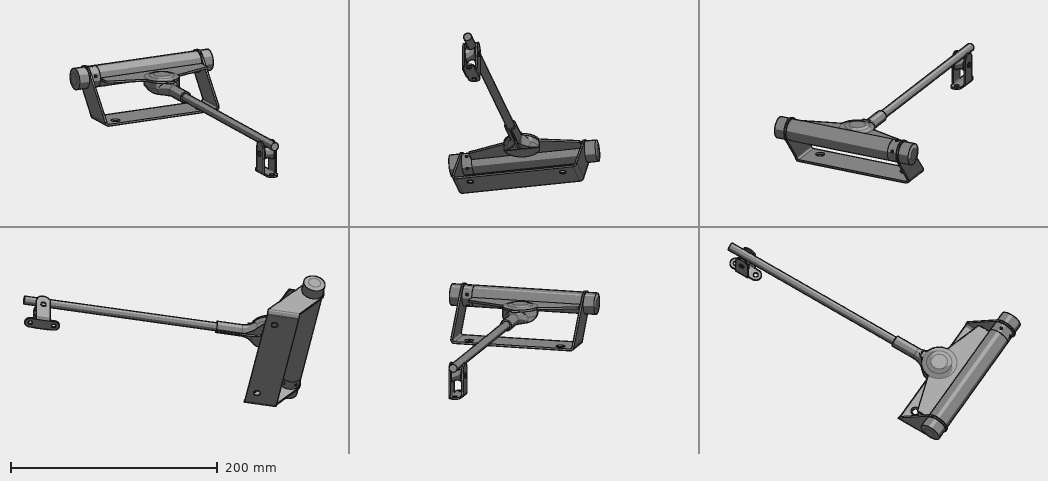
import cadquery as cq
import math


OVERALL_LENGTH_X = 285.0
OVERALL_LENGTH_Y = 147.0
BARREL_RADIUS = 10.5
BARREL_Z = 38.2
CAP_CONE_HEIGHT = 0.9
CAP_FACE_RADIUS = 6.0
TOOL_HOLE_COUNT = 5
TOOL_HOLE_RADIUS = 1.28
TOOL_HOLE_DEPTH = 2.8

SHEET = 2.0
BRACKET_LENGTH = 124.0
BRACKET_LEFT = 12.5
BRACKET_RIGHT = 43.5
CHEEK_RADIUS = 11.7
SCREW_X = 34.2
SCREW_SPACING = 91.8
SCREW_RADIUS = 3.0
SCREW_COUNTERSINK_RADIUS = 4.3
COUNTERSINK_ANGLE = 90

BARREL_FRONT = -50.2
WING_SHOULDER_X = 22.8
WING_TIP_X = 34.8
WING_CORNER_RADIUS = 1.5
WING_TOP = 39.0
PIVOT_X = 33.0
PIVOT_RADIUS = 17.0
TAB_END = 53.0
TAB_WIDTH = 7.5
DOME_HEIGHT = 2.5
DOME_FLARE_RADIUS = 12.3
DOME_TOP_RADIUS = 8.0

ROD_RADIUS = 4.0
SOCKET_WALL = 1.62
ARM_Z = 31.0
SLEEVE_START = 59.0
SLEEVE_END = 83.8
SOCKET_RAMP_START = 30.8
SOCKET_RAMP_END = 48.5
SEAM_GAP = 2.0

FOOT_X = 255.6
FOOT_HALF_LENGTH = 17.0
FOOT_SHEET = 1.7
FOOT_WIDTH = 14.5
FOOT_BEND_RADIUS = 2.3
FOOT_SCREW_RADIUS = 2.3
LEG_HALF_WIDTH = 6.8
LEG_HEIGHT = 32.5
LEG_ROUNDING = 0.999
PIN_Z = 20.5
PIN_RADIUS = 2.5
PIN_LENGTH = 16.2
ROLLER_RADIUS = 7.0
ROLLER_WAIST_RADIUS = 5.0
ROLLER_RIM = 0.9

BRACKET_END = BRACKET_LENGTH / 2
CHEEK_INSIDE = BRACKET_END - SHEET
BEND_RADIUS = 2 * SHEET
BARREL_BACK = CHEEK_INSIDE
PIVOT_Y = (BARREL_FRONT + BARREL_BACK) / 2
SLEEVE_RADIUS = ROD_RADIUS + SOCKET_WALL
WING_BOTTOM = WING_TOP - SHEET
ROD_END = OVERALL_LENGTH_X - CHEEK_RADIUS
TOOL_HOLE_Y = (BARREL_FRONT - CHEEK_INSIDE) / 2
GAP_HALF = FOOT_WIDTH / 2 - FOOT_SHEET


def cylinder_y(radius, y_start, y_end, x, z):
    """Cylinder along Y between two Y places."""
    return (
        cq.Workplane("XZ", origin=(x, y_start, z))
        .circle(radius)
        .extrude(y_start - y_end)
    )


def tangent_point(x, z, side):
    """Where the line from (x, z) touches the cheek's round end; side is +1 or -1."""
    dz = z - BARREL_Z
    angle = math.atan2(dz, x) + side * math.acos(CHEEK_RADIUS / math.hypot(x, dz))
    return CHEEK_RADIUS * math.cos(angle), BARREL_Z + CHEEK_RADIUS * math.sin(angle)


def make_mounting_bracket():
    """U of bent sheet: a base with two screw holes and two slanted cheeks."""
    blank_length = 2 * (BRACKET_RIGHT + CHEEK_RADIUS)
    blank_height = BARREL_Z + CHEEK_RADIUS
    channel = (
        cq.Workplane("XY")
        .box(blank_length, BRACKET_LENGTH, blank_height, centered=(True, True, False))
        .edges("|X and <Z")
        .fillet(BEND_RADIUS)
    )
    inside = (
        cq.Workplane("XY", origin=(0, 0, SHEET))
        .box(blank_length, 2 * CHEEK_INSIDE, blank_height, centered=(True, True, False))
        .edges("|X and <Z")
        .fillet(BEND_RADIUS - SHEET)
    )
    round_middle = (
        -CHEEK_RADIUS * math.sin(math.pi / 4),
        BARREL_Z + CHEEK_RADIUS * math.cos(math.pi / 4),
    )
    cheek_outline = (
        cq.Workplane("XZ", origin=(0, BRACKET_END, 0))
        .moveTo(BRACKET_LEFT, 0)
        .lineTo(BRACKET_RIGHT, 0)
        .lineTo(BRACKET_RIGHT, BEND_RADIUS)
        .lineTo(*tangent_point(BRACKET_RIGHT, BEND_RADIUS, 1))
        .threePointArc(round_middle, tangent_point(BRACKET_LEFT, BEND_RADIUS, -1))
        .lineTo(BRACKET_LEFT, BEND_RADIUS)
        .close()
        .extrude(BRACKET_LENGTH)
    )
    cap_bore = cylinder_y(BARREL_RADIUS, -BRACKET_END, BRACKET_END, 0, BARREL_Z)
    bracket = channel.cut(inside).intersect(cheek_outline).cut(cap_bore)
    return (
        bracket.copyWorkplane(cq.Workplane("XY", origin=(0, 0, SHEET)))
        .pushPoints([(SCREW_X, SCREW_SPACING / 2), (SCREW_X, -SCREW_SPACING / 2)])
        .cskHole(2 * SCREW_RADIUS, 2 * SCREW_COUNTERSINK_RADIUS, COUNTERSINK_ANGLE)
    )


def make_end_cap(y_inner, direction):
    """Cap from y_inner to the outer end, coned on its end face; direction is +1 or -1."""
    length = OVERALL_LENGTH_Y / 2 - direction * y_inner
    return (
        cq.Workplane("XY", origin=(0, y_inner, BARREL_Z))
        .polyline([
            (0, 0),
            (BARREL_RADIUS, 0),
            (BARREL_RADIUS, direction * (length - CAP_CONE_HEIGHT)),
            (CAP_FACE_RADIUS, direction * length),
            (0, direction * length),
        ])
        .close()
        .revolve(360, (0, 0, 0), (0, 1, 0))
    )


def make_adjuster_cap():
    """Front cap with a ring of blind holes for a tensioning tool."""
    cap = make_end_cap(BARREL_FRONT, -1)
    tool_hole = (
        cq.Workplane("XY", origin=(0, TOOL_HOLE_Y, BARREL_Z + BARREL_RADIUS - TOOL_HOLE_DEPTH))
        .circle(TOOL_HOLE_RADIUS)
        .extrude(2 * TOOL_HOLE_DEPTH)
    )
    for index in range(TOOL_HOLE_COUNT):
        angle = 360 * index / TOOL_HOLE_COUNT
        cap = cap.cut(tool_hole.rotate((0, 0, BARREL_Z), (0, 1, BARREL_Z), angle))
    return cap


def make_dome():
    """Shallow raised dome: a concave flank that turns smoothly into a convex crown edge."""
    flare_width = PIVOT_RADIUS - DOME_FLARE_RADIUS
    crown_width = DOME_FLARE_RADIUS - DOME_TOP_RADIUS
    half_slope = math.atan2(DOME_HEIGHT, flare_width + crown_width)
    flare_arc_radius = flare_width / math.sin(2 * half_slope)
    crown_arc_radius = crown_width / math.sin(2 * half_slope)
    flare_height = flare_width * math.tan(half_slope)
    flare_middle = (
        PIVOT_RADIUS - flare_arc_radius * math.sin(half_slope),
        flare_arc_radius * (1 - math.cos(half_slope)),
    )
    crown_middle = (
        DOME_TOP_RADIUS + crown_arc_radius * math.sin(half_slope),
        DOME_HEIGHT - crown_arc_radius * (1 - math.cos(half_slope)),
    )
    return (
        cq.Workplane("XZ", origin=(PIVOT_X, PIVOT_Y, WING_TOP))
        .moveTo(0, -SHEET)
        .lineTo(PIVOT_RADIUS, -SHEET)
        .lineTo(PIVOT_RADIUS, 0)
        .threePointArc(flare_middle, (DOME_FLARE_RADIUS, flare_height))
        .threePointArc(crown_middle, (DOME_TOP_RADIUS, DOME_HEIGHT))
        .lineTo(0, DOME_HEIGHT)
        .close()
        .revolve(360, (0, 0, 0), (0, 1, 0))
    )


def make_barrel():
    """Barrel with its wing plate, the domed pivot disc and the stop tab."""
    barrel = cylinder_y(BARREL_RADIUS, BARREL_FRONT, BARREL_BACK, 0, BARREL_Z)
    tip_y = math.sqrt(PIVOT_RADIUS**2 - (WING_TIP_X - PIVOT_X) ** 2)
    shoulder_corners = cq.selectors.BoxSelector(
        (WING_SHOULDER_X - SHEET, BARREL_FRONT - SHEET, WING_BOTTOM - SHEET),
        (WING_SHOULDER_X + SHEET, BARREL_BACK + SHEET, WING_TOP + SHEET),
    )
    wings = (
        cq.Workplane("XY", origin=(0, 0, WING_BOTTOM))
        .polyline([
            (0, BARREL_BACK),
            (WING_SHOULDER_X, BARREL_BACK),
            (WING_TIP_X, PIVOT_Y + tip_y),
            (WING_TIP_X, PIVOT_Y - tip_y),
            (WING_SHOULDER_X, BARREL_FRONT),
            (0, BARREL_FRONT),
        ])
        .close()
        .extrude(SHEET)
        .edges(shoulder_corners)
        .edges("|Z")
        .fillet(WING_CORNER_RADIUS)
    )
    tab = (
        cq.Workplane("XY", origin=(PIVOT_X, PIVOT_Y, WING_BOTTOM))
        .box(TAB_END - PIVOT_X, TAB_WIDTH, SHEET, centered=(False, True, False))
    )
    return barrel.union(wings).union(tab).union(make_dome())


def make_rod():
    """Straight round rod, seated in the sleeve and running out over the roller."""
    return (
        cq.Workplane("YZ", origin=(SLEEVE_START, PIVOT_Y, ARM_Z))
        .circle(ROD_RADIUS)
        .extrude(ROD_END - SLEEVE_START)
    )


def make_socket():
    """Pivot disc that narrows through a round neck into a slit sleeve for the rod."""
    disc = (
        cq.Workplane("XY", origin=(PIVOT_X, PIVOT_Y, ARM_Z))
        .circle(PIVOT_RADIUS)
        .extrude(WING_BOTTOM - ARM_Z)
    )
    neck_length = SLEEVE_START - PIVOT_X
    flank_radius = (neck_length**2 + SLEEVE_RADIUS**2 - PIVOT_RADIUS**2) / (
        2 * (PIVOT_RADIUS - SLEEVE_RADIUS)
    )
    flank_center_y = SLEEVE_RADIUS + flank_radius
    disc_angle = math.atan2(flank_center_y, neck_length)
    disc_touch = (PIVOT_RADIUS * math.cos(disc_angle), PIVOT_RADIUS * math.sin(disc_angle))
    disc_middle_angle = (disc_angle + math.pi / 2) / 2
    disc_middle = (
        PIVOT_RADIUS * math.cos(disc_middle_angle),
        PIVOT_RADIUS * math.sin(disc_middle_angle),
    )
    flank_middle_angle = (disc_angle + math.pi + 3 * math.pi / 2) / 2
    flank_middle = (
        neck_length + flank_radius * math.cos(flank_middle_angle),
        flank_center_y + flank_radius * math.sin(flank_middle_angle),
    )
    neck = (
        cq.Workplane("XY", origin=(PIVOT_X, PIVOT_Y, ARM_Z))
        .lineTo(0, PIVOT_RADIUS)
        .threePointArc(disc_middle, disc_touch)
        .threePointArc(flank_middle, (neck_length, SLEEVE_RADIUS))
        .lineTo(SLEEVE_END - PIVOT_X, SLEEVE_RADIUS)
        .lineTo(SLEEVE_END - PIVOT_X, 0)
        .close()
        .revolve(360, (0, 0, 0), (1, 0, 0))
    )
    ramp_length = SOCKET_RAMP_END - SOCKET_RAMP_START
    neck_side = (
        cq.Workplane("XZ", origin=(0, PIVOT_Y + PIVOT_RADIUS, 0))
        .moveTo(SOCKET_RAMP_START, WING_BOTTOM)
        .lineTo(SOCKET_RAMP_START, ARM_Z)
        .spline(
            [(SOCKET_RAMP_END, ARM_Z - SLEEVE_RADIUS)],
            tangents=[(ramp_length, -SLEEVE_RADIUS / 2), (ramp_length, 0)],
            includeCurrent=True,
        )
        .lineTo(SLEEVE_END, ARM_Z - SLEEVE_RADIUS)
        .lineTo(SLEEVE_END, WING_BOTTOM)
        .close()
        .extrude(2 * PIVOT_RADIUS)
    )
    seam = (
        cq.Workplane("XY", origin=(SOCKET_RAMP_START, PIVOT_Y, ARM_Z - 2 * SLEEVE_RADIUS))
        .box(SLEEVE_END - SOCKET_RAMP_START, SEAM_GAP, 2 * SLEEVE_RADIUS, centered=(False, True, False))
    )
    return disc.union(neck.intersect(neck_side)).cut(seam).cut(make_rod())


def make_pin():
    """Roller axle that stands slightly proud of both legs."""
    return cylinder_y(PIN_RADIUS, PIVOT_Y - PIN_LENGTH / 2, PIVOT_Y + PIN_LENGTH / 2, FOOT_X, PIN_Z)


def make_foot_bracket():
    """Round-ended base strip with two screw holes and two round-topped legs bent up from it."""
    screw_offset = FOOT_HALF_LENGTH - GAP_HALF
    base = (
        cq.Workplane("XY", origin=(FOOT_X, PIVOT_Y, 0))
        .slot2D(2 * FOOT_HALF_LENGTH, 2 * GAP_HALF)
        .extrude(FOOT_SHEET)
        .faces(">Z")
        .workplane(origin=(FOOT_X, PIVOT_Y, FOOT_SHEET))
        .pushPoints([(-screw_offset, 0), (screw_offset, 0)])
        .hole(2 * FOOT_SCREW_RADIUS)
    )
    channel = (
        cq.Workplane("XY", origin=(FOOT_X, PIVOT_Y, 0))
        .box(2 * LEG_HALF_WIDTH, FOOT_WIDTH, LEG_HEIGHT, centered=(True, True, False))
        .edges("|X and <Z")
        .fillet(FOOT_BEND_RADIUS)
        .edges("|Y and >Z")
        .fillet(LEG_HALF_WIDTH * LEG_ROUNDING)
    )
    inside = (
        cq.Workplane("XY", origin=(FOOT_X, PIVOT_Y, FOOT_SHEET))
        .box(2 * LEG_HALF_WIDTH, 2 * GAP_HALF, LEG_HEIGHT, centered=(True, True, False))
        .edges("|X and <Z")
        .fillet(FOOT_BEND_RADIUS - FOOT_SHEET)
    )
    return channel.cut(inside).union(base).cut(make_pin())


def make_roller():
    """Waisted roller that fills the gap between the legs."""
    groove_half = GAP_HALF - ROLLER_RIM
    return (
        cq.Workplane("XY", origin=(FOOT_X, PIVOT_Y, PIN_Z))
        .moveTo(PIN_RADIUS, -GAP_HALF)
        .lineTo(ROLLER_RADIUS, -GAP_HALF)
        .lineTo(ROLLER_RADIUS, -groove_half)
        .threePointArc((ROLLER_WAIST_RADIUS, 0), (ROLLER_RADIUS, groove_half))
        .lineTo(ROLLER_RADIUS, GAP_HALF)
        .lineTo(PIN_RADIUS, GAP_HALF)
        .close()
        .revolve(360, (0, 0, 0), (0, 1, 0))
    )


mounting_bracket = make_mounting_bracket()
barrel = make_barrel()
back_cap = make_end_cap(BARREL_BACK, 1)
adjuster_cap = make_adjuster_cap()
socket = make_socket()
rod = make_rod()
foot_bracket = make_foot_bracket()
roller = make_roller()
pin = make_pin()

result = cq.Compound.makeCompound([
    mounting_bracket.val(),
    barrel.val(),
    back_cap.val(),
    adjuster_cap.val(),
    socket.val(),
    rod.val(),
    foot_bracket.val(),
    roller.val(),
    pin.val(),
])